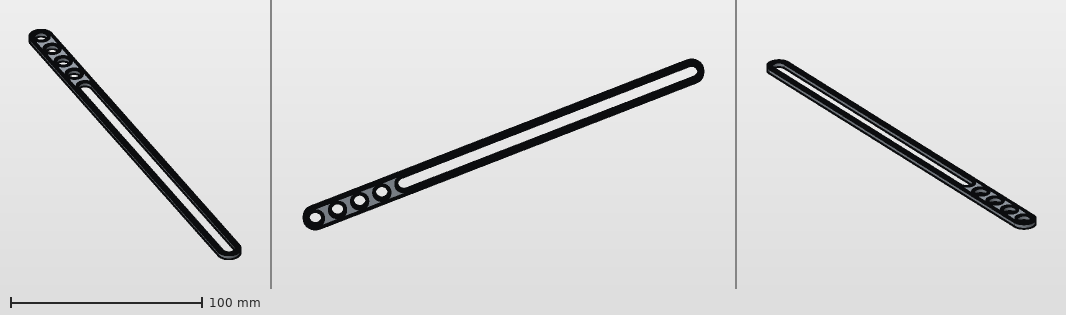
import cadquery as cq

length = 225.0
module_count = 18
thickness = 3.2
round_hole_count = 4
hole_diameter = 7.0
collar_diameter = 9.2
border = 1.1
recess_depth = 0.2
edge_chamfer = 0.32

module = length / module_count
width = module
first_center = (module - length) / 2
last_center = -first_center
hole_centers = [(first_center + i * module, 0) for i in range(round_hole_count)]
slot_start = first_center + round_hole_count * module
slot_middle = (slot_start + last_center) / 2
slot_center_distance = last_center - slot_start


def bar_outline(inset=0.0):
    """Full-thickness bar with semicircular ends, its outline moved inward by inset."""
    outline = cq.Workplane("XY").slot2D(length - 2 * inset, width - 2 * inset)
    return outline.extrude(thickness / 2, both=True)


def openings(diameter):
    """Full-thickness columns of the given diameter on the holes and along the slot."""
    columns = cq.Workplane("XY").pushPoints(hole_centers).circle(diameter / 2)
    columns = columns.extrude(thickness / 2, both=True)
    slot = cq.Workplane("XY").center(slot_middle, 0)
    slot = slot.slot2D(slot_center_distance + diameter, diameter)
    return columns.union(slot.extrude(thickness / 2, both=True))


def web_recesses():
    """Shallow layers at both faces, between the border and the collars."""
    web = bar_outline(border).cut(openings(collar_diameter))
    core = cq.Workplane("XY").box(length, width, thickness - 2 * recess_depth)
    return web.cut(core)


bar = bar_outline().cut(openings(hole_diameter))
bar = bar.faces("|Z").edges().chamfer(edge_chamfer)

result = bar.cut(web_recesses())